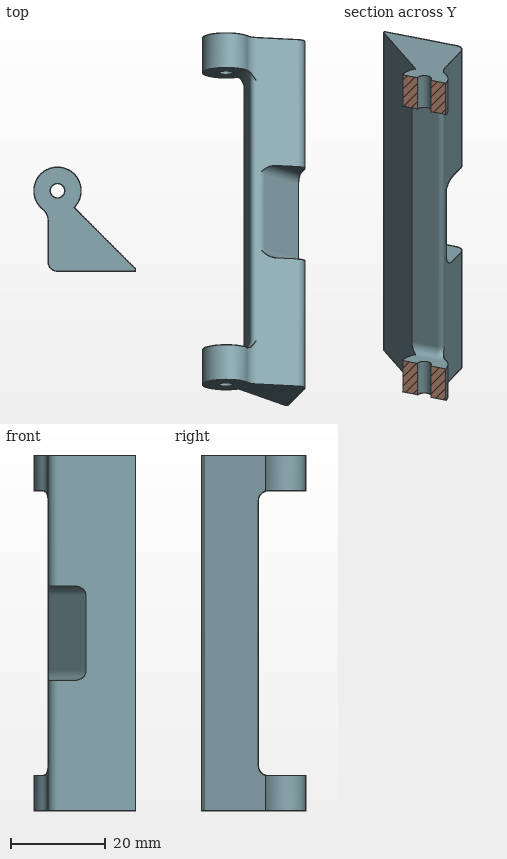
import cadquery as cq
import math


height = 75.0
wall_x = -2.0
front_y = -17.0
tip_x = 16.5
shelf_y = -5.0
front_corner_radius = 2.0
shelf_corner_radius = 1.0

knuckle_radius = 5.0
knuckle_height = 7.5
pin_diameter = 3.0
neck_radius = 3.0
root_radius = 2.0

pocket_length = 20.0
pocket_front_x = 6.0
pocket_side_y = -7.4
pocket_end_radius = 2.0
pocket_lip_radius = 2.0

clearance = 10.0


def knuckle_profile_prism():
    """Full-height prism of the bar together with its knuckle outline."""
    diagonal = knuckle_radius * math.sqrt(0.5)
    neck_x = wall_x - neck_radius
    neck_reach = knuckle_radius + neck_radius
    neck_y = -math.sqrt(neck_reach**2 - neck_x**2)
    neck_scale = knuckle_radius / neck_reach
    neck_start = (neck_x * neck_scale, neck_y * neck_scale)
    neck_turn = math.atan2(neck_start[1] - neck_y, neck_start[0] - neck_x) / 2
    neck_middle = (
        neck_x + neck_radius * math.cos(neck_turn),
        neck_y + neck_radius * math.sin(neck_turn),
    )
    return (
        cq.Workplane("XY")
        .moveTo(wall_x, front_y)
        .lineTo(tip_x, front_y)
        .lineTo(tip_x, -tip_x)
        .lineTo(diagonal, -diagonal)
        .threePointArc((-diagonal, diagonal), neck_start)
        .threePointArc(neck_middle, (wall_x, neck_y))
        .close()
        .extrude(height)
        .edges(cq.selectors.NearestToPointSelector((wall_x, front_y, height / 2)))
        .fillet(front_corner_radius)
    )


def knuckle_gap():
    """Space between the knuckles, with rounded ends along the shelf and its corner."""
    left = wall_x - clearance
    right = tip_x
    back = knuckle_radius + clearance
    side_end = shelf_y - clearance
    gap = (
        cq.Workplane("XY", origin=(0, 0, knuckle_height))
        .moveTo(left, side_end)
        .lineTo(wall_x, side_end)
        .lineTo(wall_x, shelf_y)
        .lineTo(right, shelf_y)
        .lineTo(right, back)
        .lineTo(left, back)
        .close()
        .extrude(height - 2 * knuckle_height)
        .edges(cq.selectors.NearestToPointSelector((wall_x, shelf_y, height / 2)))
        .fillet(shelf_corner_radius)
    )
    margin = 1.0
    shelf_edges = cq.selectors.BoxSelector(
        (wall_x - margin, side_end, 0), (right - margin, shelf_y + margin, height)
    )
    return gap.faces("<Z or >Z").edges(shelf_edges).fillet(root_radius)


def finger_pocket():
    """Wedge with a sloping floor that bends into the flat side; end walls are filleted."""
    floor_slope = (pocket_side_y - front_y) / (pocket_front_x - wall_x)
    outer_x = pocket_front_x + clearance
    outer_y = front_y - clearance * floor_slope
    left = wall_x - clearance
    back = pocket_side_y + clearance
    lip = cq.selectors.NearestToPointSelector((wall_x, pocket_side_y, height / 2))
    wedge = (
        cq.Workplane("XY", origin=(0, 0, (height - pocket_length) / 2))
        .moveTo(outer_x, outer_y)
        .lineTo(wall_x, pocket_side_y)
        .lineTo(wall_x, back)
        .lineTo(left, back)
        .lineTo(left, outer_y)
        .close()
        .extrude(pocket_length)
        .edges(lip)
        .fillet(pocket_lip_radius)
    )
    margin = 1.0
    end_edges = cq.selectors.BoxSelector(
        (wall_x - margin, outer_y + margin, 0), (outer_x, back - margin, height)
    )
    return wedge.faces("<Z or >Z").edges(end_edges).fillet(pocket_end_radius)


pin_hole = cq.Workplane("XY").circle(pin_diameter / 2).extrude(height)

result = knuckle_profile_prism().cut(knuckle_gap()).cut(pin_hole).cut(finger_pocket())